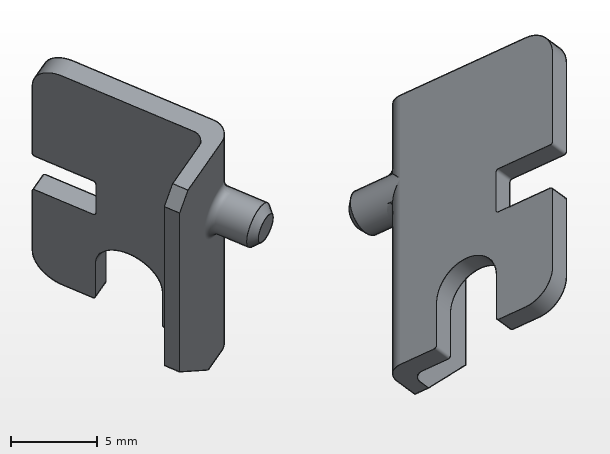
import cadquery as cq

HEIGHT = 19.05
WIDTH = 12.4
DEPTH = 6.3
PLATE_THICKNESS = 1.3
LEG_THICKNESS = 1.01
INNER_BEND_RADIUS = 0.8
OUTER_BEND_RADIUS = 1.2

CORNER_RADIUS = 2.0
EDGE_ROUND = 0.2
SLOT_DEPTH = 4.17
SLOT_HEIGHT = 3.05
SLOT_BOTTOM = 7.62
ARCH_WIDTH = 4.4
ARCH_HEIGHT = 5.37
ARCH_CENTER_X = 6.35

TOP_CHAMFER = 1.01
BOTTOM_CHAMFER_Y = 3.45
BOTTOM_CHAMFER_Z = 3.55

PIN_DIAMETER = 2.8
PIN_END_X = 15.4
PIN_CENTER_Z = 13.13
PIN_CHAMFER = 0.5
PIN_ROOT_RADIUS = 0.5
PIN_ROOT_TOP = 0.4

CUT_LENGTH = 2 * DEPTH


def edge_at(body, direction, x, y, z):
    """Select the edge in the given direction nearest to a point."""
    return body.edges(direction).edges(cq.selectors.NearestToPointSelector((x, y, z)))


def folded_sheet():
    """L-shaped section with a rounded bend, extruded to full height."""
    leg_inner_x = WIDTH - LEG_THICKNESS
    sheet = (
        cq.Workplane("XY")
        .polyline([
            (0, 0),
            (WIDTH, 0),
            (WIDTH, -DEPTH),
            (leg_inner_x, -DEPTH),
            (leg_inner_x, -PLATE_THICKNESS),
            (0, -PLATE_THICKNESS),
        ])
        .close()
        .extrude(HEIGHT)
    )
    sheet = edge_at(sheet, "|Z", WIDTH, 0, HEIGHT / 2).fillet(OUTER_BEND_RADIUS)
    inner_bend = edge_at(sheet, "|Z", leg_inner_x, -PLATE_THICKNESS, HEIGHT / 2)
    return inner_bend.fillet(INNER_BEND_RADIUS)


def round_plate_edges(body, points, radius):
    """Round the edges through the plate at the given (x, z) points."""
    for x, z in points:
        body = edge_at(body, "|Y", x, -PLATE_THICKNESS / 2, z).fillet(radius)
    return body


def side_slot():
    """Rectangular slot open at the free side of the plate."""
    return (
        cq.Workplane("XY")
        .box(SLOT_DEPTH, CUT_LENGTH, SLOT_HEIGHT, centered=(False, True, False))
        .translate((0, 0, SLOT_BOTTOM))
    )


def bottom_arch():
    """Round-topped notch open at the bottom of the plate."""
    radius = ARCH_WIDTH / 2
    spring_z = ARCH_HEIGHT - radius
    return (
        cq.Workplane("XZ")
        .moveTo(ARCH_CENTER_X - radius, 0)
        .lineTo(ARCH_CENTER_X - radius, spring_z)
        .threePointArc((ARCH_CENTER_X, ARCH_HEIGHT), (ARCH_CENTER_X + radius, spring_z))
        .lineTo(ARCH_CENTER_X + radius, 0)
        .close()
        .extrude(CUT_LENGTH / 2, both=True)
    )


def leg_corner(corner_z, size_y, size_z):
    """Triangular prism that trims a free corner of the leg; size_z is signed."""
    return (
        cq.Workplane("YZ")
        .polyline([
            (-DEPTH, corner_z),
            (-DEPTH + size_y, corner_z),
            (-DEPTH, corner_z + size_z),
        ])
        .close()
        .extrude(WIDTH)
    )


def add_pin(body):
    """Pin along +X, flush with the back of the plate, with a filleted root."""
    radius = PIN_DIAMETER / 2
    start_x = WIDTH - OUTER_BEND_RADIUS
    pin = (
        cq.Workplane("YZ", origin=(start_x, -radius, PIN_CENTER_Z))
        .circle(radius)
        .extrude(PIN_END_X - start_x)
        .faces(">X")
        .chamfer(PIN_CHAMFER)
    )
    inner_side = cq.Workplane("XY").box(
        WIDTH - LEG_THICKNESS / 2, DEPTH, HEIGHT, centered=False
    ).translate((0, -DEPTH - OUTER_BEND_RADIUS, 0))
    pin = pin.cut(inner_side)

    below_root_top = cq.Workplane("XY").box(
        PIN_END_X, DEPTH, HEIGHT, centered=False
    ).translate((0, -DEPTH - PIN_ROOT_TOP, 0))
    root_zone = cq.selectors.BoxSelector(
        (start_x, -PIN_DIAMETER, PIN_CENTER_Z - radius),
        (WIDTH + LEG_THICKNESS / 2, 0, PIN_CENTER_Z + radius),
    )
    filleted_part = (
        body.union(pin)
        .intersect(below_root_top)
        .edges(root_zone)
        .edges("%CIRCLE or %BSPLINE")
        .fillet(PIN_ROOT_RADIUS)
    )
    return body.union(pin).union(filleted_part)


bracket = folded_sheet()
bracket = round_plate_edges(bracket, [(0, 0), (0, HEIGHT)], CORNER_RADIUS)
bracket = bracket.cut(side_slot()).cut(bottom_arch())

slot_corners = [
    (x, z)
    for x in (0, SLOT_DEPTH)
    for z in (SLOT_BOTTOM, SLOT_BOTTOM + SLOT_HEIGHT)
]
arch_corners = [(ARCH_CENTER_X + side * ARCH_WIDTH / 2, 0) for side in (-1, 1)]
bracket = round_plate_edges(bracket, slot_corners + arch_corners, EDGE_ROUND)

bracket = bracket.cut(leg_corner(HEIGHT, TOP_CHAMFER, -TOP_CHAMFER))
bracket = bracket.cut(leg_corner(0, BOTTOM_CHAMFER_Y, BOTTOM_CHAMFER_Z))

result = add_pin(bracket)